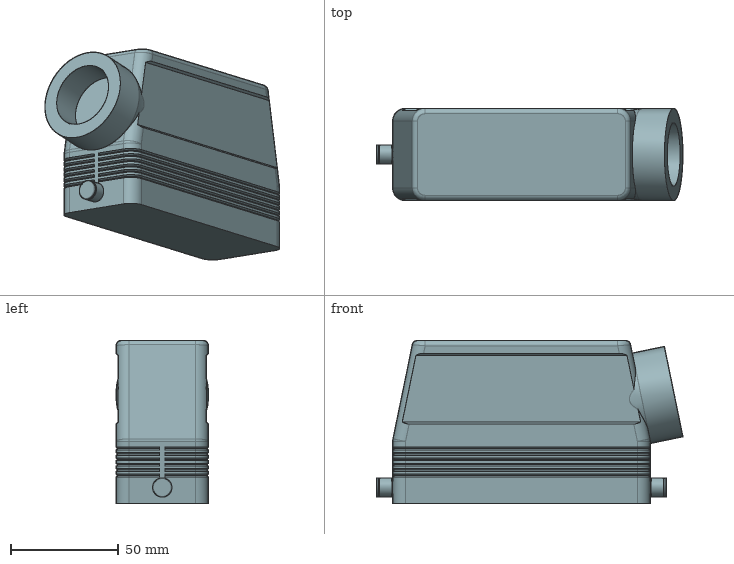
import cadquery as cq
import math

length = 120.0
width = 43.0
height = 76.0
corner_radius = 6.0
taper_start = 29.5
taper_angle = 11.6
bend_radius = 6.5
top_radius = 2.5
half_length = length / 2
half_width = width / 2
taper_slope = math.tan(math.radians(taper_angle))
top_half_length = half_length - (height - taper_start) * taper_slope
select_margin = 1.0

recess_bottom = 37.1
recess_top = 70.0
recess_depth = 1.0

groove_count = 6
groove_pitch = 2.5
groove_width = 1.3
groove_depth = 0.7
lowest_groove = 13.1
groove_gap = 2.7

pin_radius = 4.5
pin_reach = 7.5
pin_height = 7.5
pin_tip_round = 0.3
pin_cap_length = 1.0
pin_ring_width = 0.4
pin_ring_depth = 0.4
pin_neck_length = 0.4
pin_neck_radius = 3.0

entry_radius = 21.5
entry_bore_radius = 14.75
entry_height = 49.1
entry_reach = 75.24
entry_flare_depth = 5.7
entry_root_radius = half_width - recess_depth


def make_body():
    """Tapered block with rounded corners, softened bends and a rounded top."""
    profile = [
        (-half_length, 0),
        (half_length, 0),
        (half_length, taper_start),
        (top_half_length, height),
        (-top_half_length, height),
        (-half_length, taper_start),
    ]
    body = cq.Workplane("XZ").polyline(profile).close().extrude(half_width, both=True)
    bends = cq.selectors.BoxSelector(
        (-length, -width, taper_start - select_margin),
        (length, width, taper_start + select_margin),
    )
    body = body.edges("|Y").edges(bends).fillet(bend_radius)
    for side in (-1, 1):
        corners = cq.selectors.BoxSelector(
            (-length, side * half_width - select_margin, select_margin),
            (length, side * half_width + select_margin, height - select_margin),
        )
        body = body.edges(corners).fillet(corner_radius)
    return body.faces(">Z").edges().fillet(top_radius)


def cut_side_recesses(body):
    """Shallow panel with sloping rims across the full length of both sides."""
    floor = half_width - recess_depth
    for side in (-1, 1):
        profile = [
            (side * half_width, recess_bottom),
            (side * floor, recess_bottom + recess_depth),
            (side * floor, recess_top - recess_depth),
            (side * half_width, recess_top),
        ]
        panel = cq.Workplane("YZ").polyline(profile).close().extrude(half_length, both=True)
        body = body.cut(panel)
    return body


def rounded_prism(inset, bottom, depth):
    """Upright block of the hood's plan shape, drawn in by the inset on every side."""
    return (
        cq.Workplane("XY")
        .workplane(offset=bottom)
        .rect(length - 2 * inset, width - 2 * inset)
        .extrude(depth)
        .edges("|Z")
        .fillet(corner_radius - inset)
    )


def make_groove(center):
    """V-section ring around the body, interrupted at the middle of each end wall."""
    half = groove_width / 2
    ring = rounded_prism(0, center - half, groove_width)
    flare = math.degrees(math.atan(groove_depth / half))
    waist = rounded_prism(groove_depth, center, half).faces("<Z").wires().val()
    upper = cq.Workplane("XY", (0, 0, center)).add(waist).toPending().extrude(half, taper=-flare)
    lower = upper.mirror("XY", (0, 0, center))
    gap = cq.Workplane("XY").box(2 * length, groove_gap, 2 * height)
    return ring.cut(upper).cut(lower).cut(gap)


def cut_grooves(body):
    """Evenly stacked grip grooves below the taper."""
    for index in range(groove_count):
        body = body.cut(make_groove(lowest_groove + index * groove_pitch))
    return body


def pin_cylinder(radius, start, end):
    """Cylinder on the +X pin axis between two X positions."""
    return cq.Workplane("YZ", (start, 0, pin_height)).circle(radius).extrude(end - start)


def add_pins(body):
    """Round locking pins on both end walls, each with a necked root and a ring near its tip."""
    tip = half_length + pin_reach
    shank_start = half_length + pin_neck_length
    neck_start = half_length - corner_radius
    shank = pin_cylinder(pin_radius, shank_start, tip).faces(">X").edges().fillet(pin_tip_round)
    neck = pin_cylinder(pin_neck_radius, neck_start, shank_start)
    ring_end = tip - pin_cap_length
    ring_start = ring_end - pin_ring_width
    ring = pin_cylinder(pin_radius, ring_start, ring_end).cut(
        pin_cylinder(pin_radius - pin_ring_depth, ring_start, ring_end)
    )
    pin = shank.cut(ring).union(neck)
    return body.union(pin).union(pin.mirror("YZ"))


def add_cable_entry(body):
    """Collar square to the leaning +X wall, with a tapered root and a blind bore."""
    angle = math.radians(taper_angle)
    wall_x = half_length - (entry_height - taper_start) * taper_slope
    collar = (entry_reach - wall_x - entry_radius * math.sin(angle)) / math.cos(angle)
    wall = cq.Plane(
        origin=(wall_x, 0, entry_height),
        xDir=(0, 1, 0),
        normal=(math.cos(angle), 0, math.sin(angle)),
    )
    outline = [
        (0, -entry_flare_depth),
        (entry_root_radius, -entry_flare_depth),
        (entry_radius, 0),
        (entry_radius, collar),
        (0, collar),
    ]
    section = cq.Plane(origin=wall.origin, xDir=wall.xDir, normal=-wall.yDir)
    entry = cq.Workplane(section).polyline(outline).close().revolve(360, (0, 0), (0, 1))
    bore = cq.Workplane(wall).circle(entry_bore_radius).extrude(collar)
    return body.union(entry).cut(bore)


result = make_body()
result = cut_side_recesses(result)
result = cut_grooves(result)
result = add_pins(result)
result = add_cable_entry(result)